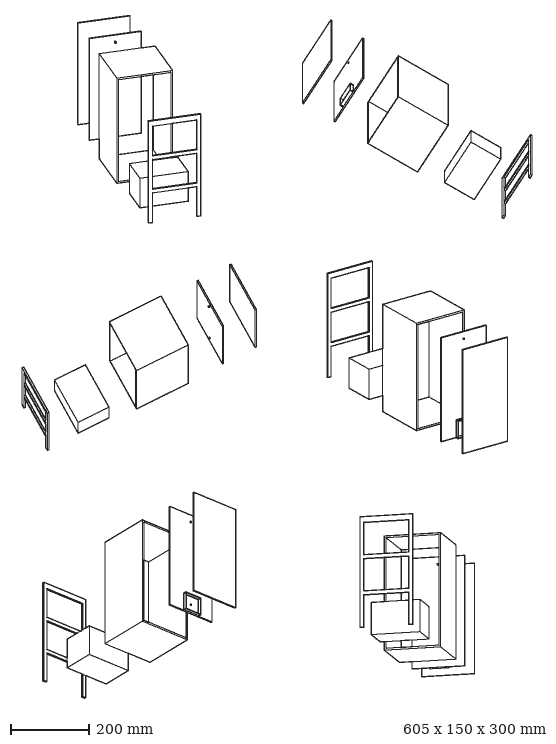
import cadquery as cq

total_length = 605.0
cabinet_width = 150.0
cabinet_height = 2 * cabinet_width
cabinet_x = 199.5
wall = 5.0

opening_width = cabinet_width - 2 * wall
opening_height = cabinet_height - 2 * wall
opening_top = wall + opening_height

sheet_thickness = 4.0
panel_x = 95.0

tray_size = 50.0
tray_depth = 9.0
tray_wall = 2.0

bore_diameter = 4.0
peg_length = 4.0
peg_drop = 20.0
peg_bore_depth = sheet_thickness / 2

block_x = 424.0
block_length = 89.5
block_width = 130.0

frame_thickness = wall
post_width = 10.0
top_rail_height = 15.0
lower_rail_height = post_width
lower_rail_count = 2
all_rails_height = top_rail_height + lower_rail_count * lower_rail_height
gap_height = (opening_height - all_rails_height) / (lower_rail_count + 1)


def box(x, bottom, length, width, height):
    """Block centred on Y = 0, starting at the given x and bottom height."""
    return (
        cq.Workplane("XY", origin=(x, 0, bottom))
        .box(length, width, height, centered=(False, True, False))
    )


def rod(x, z, diameter, length):
    """Cylinder along +X on the centre plane Y = 0."""
    return cq.Workplane("YZ", origin=(x, 0, z)).circle(diameter / 2).extrude(length)


def make_door():
    return box(0, wall, sheet_thickness, opening_width, opening_height)


def make_panel():
    panel = box(panel_x, wall, sheet_thickness, opening_width, opening_height)

    tray = box(panel_x - tray_depth, wall, tray_depth, tray_size, tray_size)
    recess_size = tray_size - 2 * tray_wall
    recess = box(panel_x - tray_depth, wall + tray_wall, tray_depth, recess_size, recess_size)
    panel = panel.union(tray.cut(recess))

    peg_z = opening_top - peg_drop
    panel = panel.union(rod(panel_x + sheet_thickness, peg_z, bore_diameter, peg_length))
    panel = panel.cut(rod(panel_x, peg_z, bore_diameter, peg_bore_depth))

    return panel.cut(rod(panel_x, wall + tray_size / 2, bore_diameter, sheet_thickness))


def make_cabinet():
    shell = box(cabinet_x, 0, cabinet_width, cabinet_width, cabinet_height)
    return shell.cut(box(cabinet_x, wall, cabinet_width, opening_width, opening_height))


def make_block():
    return box(block_x, wall, block_length, block_width, gap_height)


def make_frame():
    frame_x = total_length - frame_thickness
    frame = box(frame_x, wall, frame_thickness, opening_width, opening_height)
    clear_width = opening_width - 2 * post_width
    frame = frame.cut(
        box(frame_x, wall, frame_thickness, clear_width, opening_height - top_rail_height)
    )
    for index in range(lower_rail_count):
        rail_bottom = wall + gap_height + index * (gap_height + lower_rail_height)
        rail = box(frame_x, rail_bottom, frame_thickness, opening_width, lower_rail_height)
        frame = frame.union(rail)
    return frame


door = make_door()
panel = make_panel()
cabinet = make_cabinet()
block = make_block()
frame = make_frame()

result = cq.Compound.makeCompound(
    [door.val(), panel.val(), cabinet.val(), block.val(), frame.val()]
)